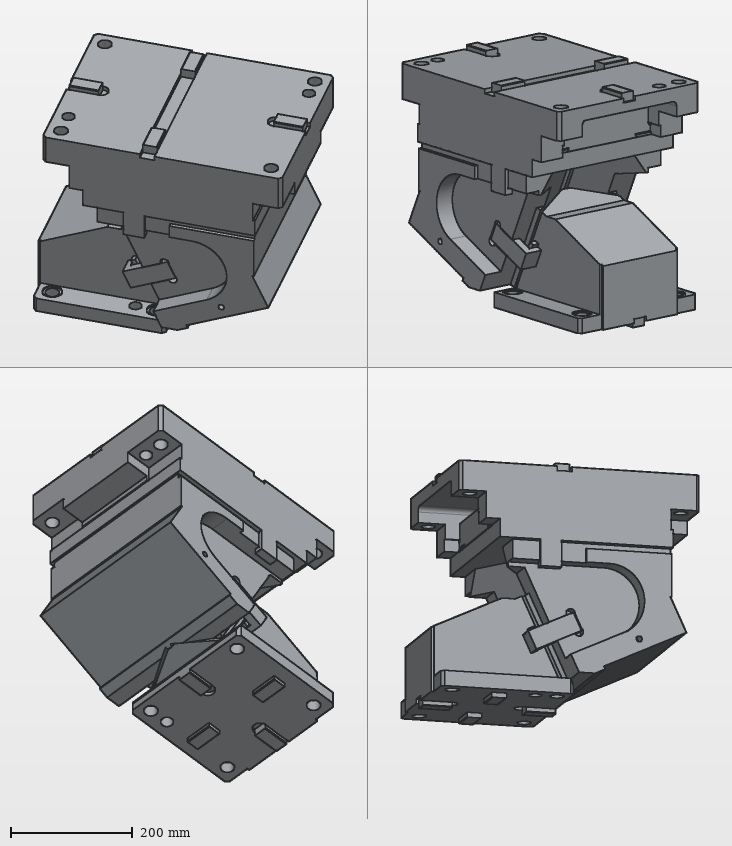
import cadquery as cq
import math


tilt = 25.0
tilt_cos = math.cos(math.radians(tilt))
tilt_sin = math.sin(math.radians(tilt))
vee_angle = 120.0
vee_slope = 1 / math.tan(math.radians(vee_angle / 2))
overall_width = 300.0
half_width = overall_width / 2
corner_chamfer = 5.5
key_width = 25.0
key_length = 50.0
key_rise = 8.5
key_sink = 7.5
key_chamfer = 1.5
drill_half_angle = 59.0
overlap = 4.5
bolt_diameter = 23.0
dowel_diameter = 21.0

driver_half_width = 82.5
driver_bottom = key_rise
driver_front_height = 117.0
driver_ledge_start = 119.0
driver_end = 231.0
front_panel_half_width = 79.0
driver_shoulder = 214.0
driver_back_plane = 219.0
nose_top = 96.5
nose_bottom = -63.5
nose_flat = 8.5
driver_body_start = 4.5
flange_half_width = 125.3
flange_top = 34.0
flange_bolt_y = 99.5
flange_bolt_x = (30.0, 208.5)
flange_dowel = (172.0, -98.0)
spot_diameter = 32.5
spot_depth = 2.0
driver_keys_x = 4.5
driver_cross_key_x = 110.0
driver_cross_key_y = 75.5
catch_half_width = 94.0
catch_start = 199.0
catch_end = 207.5
catch_bottom = 4.5
catch_top = 41.5

slide_front = 120.5
slide_back = 390.3
slide_top = 258.5
slide_nose_bottom = 218.5
slide_bottom = 39.5
slide_face = 227.0
slide_rear_face = 426.0
slide_rear_knee = 176.5
sole_front = -74.0
sole_rear = -68.8
sole_step = 271.0
vee_mouth = 68.0
vee_flat = 6.0
vee_reach = 438.0
vee_rib_half_width = 3.0
pad_outer = 85.0
pad_tip = (220.0, -81.0)
core_half_width = 116.5
rail_flange_half_width = 143.2
rail_flange_bottom = 226.0
cheek_start = 245.3
cheek_top = 249.0
pocket_radius = 60.0
pocket_center_x = 284.0
side_hole_at = (334.5, 102.0)
side_hole_diameter = 9.5
side_hole_depth = 22.0
bar_outer = 115.0
bar_inner = 100.5
hook_inner = 83.0
hook_start = 188.0
hook_end = 198.5
bar_end = 273.0
bar_pocket_end = 274.0
bar_bottom = 3.0
bar_top = 36.5
relief_radius = 7.5
relief_center = 267.5

holder_start = 28.0
holder_end = 438.0
plate_top = 384.5
plate_front_bottom = 334.5
plate_rear_bottom = 324.0
plate_rear_start = 389.0
first_step = 74.0
first_step_bottom = 290.0
second_step = 97.2
holder_back = 392.5
holder_bottom = 259.7
rib_half_width = 74.5
rib_bottom = 301.0
rib_foot_end = 394.0
hook_arm_start = 167.0
hook_arm_end = 202.5
hook_arm_bottom = 215.0
hook_arm_inner = 143.5
hook_lip_inner = 135.0
hook_lip_top = 224.5
rail_start = 98.5
rail_top = 337.0
rail_waist = 310.0
rail_head_bottom = 296.0
rail_half_width = 98.0
rail_foot_half_width = 102.0
rail_neck_half_width = 71.5
rail_neck_start = 175.0
rail_end = 348.0
rail_gap = 2.0
bay_end = 350.5
bay_top = 361.5
bay_corner_radius = 22.0
bay_roof_radius = 8.5
holder_cross_slot_x = 207.5
holder_cross_key_y = 109.5
holder_key_inset = 5.0
holder_slot_length = 68.5
holder_bolt_x = (52.5, 412.5)
holder_bolt_y = 125.3
holder_dowels = ((53.0, -84.0), (412.5, 91.0))


def tilted(distance, height):
    """X, Z of a point given along and across the tilted direction."""
    return (distance * tilt_cos - height * tilt_sin, distance * tilt_sin + height * tilt_cos)


def on_face(distance, z):
    """X, Z where the plane at a tilted distance reaches height z."""
    return ((distance - z * tilt_sin) / tilt_cos, z)


def on_slope(height, z):
    """X, Z where the plane at a tilted height reaches height z."""
    return tilted((z - height * tilt_cos) / tilt_sin, height)


def box(x0, x1, y0, y1, z0, z1):
    return cq.Workplane("XY").box(x1 - x0, y1 - y0, z1 - z0, centered=False).translate((x0, y0, z0))


def side_prism(points, half):
    """Outline in X, Z, extruded to both sides of Y = 0."""
    return cq.Workplane("XZ").polyline(points).close().extrude(half, both=True)


def tilted_plan(points, bottom, top):
    """Outline in tilted distance and Y, extruded from one tilted height to another."""
    x, z = tilted(0, bottom)
    plane = cq.Plane(origin=(x, 0, z), xDir=(tilt_cos, 0, tilt_sin), normal=(-tilt_sin, 0, tilt_cos))
    return cq.Workplane(plane).polyline(points).close().extrude(top - bottom)


def tilted_box(start, end, y0, y1, bottom, top):
    return tilted_plan([(start, y0), (end, y0), (end, y1), (start, y1)], bottom, top)


def both_sides(solid):
    return solid.union(solid.mirror("XZ"))


def vertical_holes(points, diameter, bottom, top):
    holes = cq.Workplane("XY").workplane(offset=bottom).pushPoints(points)
    return holes.circle(diameter / 2).extrude(top - bottom)


def key_along_x(start, center_y, bottom, top, outer_face):
    """Key with its long outer edges chamfered; outer_face selects the exposed face."""
    half = key_width / 2
    key = box(start, start + key_length, center_y - half, center_y + half, bottom, top)
    return key.faces(outer_face).edges("|X").chamfer(key_chamfer)


def key_along_y(center_x, center_y, bottom, top, outer_face):
    key = key_along_x(-key_length / 2, 0, bottom, top, outer_face)
    return key.rotate((0, 0, 0), (0, 0, 1), 90).translate((center_x, center_y, 0))


def key_seat(open_end, closed_end, bottom, top):
    """Seat along X, open at one end and round at the other."""
    half = key_width / 2
    inward = math.copysign(1, closed_end - open_end)
    arc_center = closed_end - inward * half
    straight = box(min(open_end, arc_center), max(open_end, arc_center), -half, half, bottom, top)
    return straight.union(vertical_holes([(arc_center, 0)], key_width, bottom, top))


def driver_end_corner():
    """X, Z where the tilted cut meets the vertical end of the base."""
    return (driver_end, (driver_back_plane - driver_end * tilt_cos) / tilt_sin)


def driver_block():
    ledge_z = driver_front_height + driver_ledge_start * math.tan(math.radians(tilt))
    outline = [
        (0, driver_bottom),
        (driver_end, driver_bottom),
        driver_end_corner(),
        on_face(driver_back_plane, flange_top),
        on_face(driver_shoulder, flange_top),
        tilted(driver_shoulder, nose_top),
        on_slope(nose_top, ledge_z),
        (driver_ledge_start, ledge_z),
        (0, driver_front_height),
    ]
    block = side_prism(outline, driver_half_width)
    beside_panel = box(0, driver_body_start, front_panel_half_width, driver_half_width,
                       driver_bottom, ledge_z)
    return block.cut(both_sides(beside_panel))


def driver_nose():
    ridge = driver_shoulder + (driver_half_width - nose_flat) * vee_slope
    plan = [
        (driver_shoulder - overlap, -driver_half_width),
        (driver_shoulder, -driver_half_width),
        (ridge, -nose_flat),
        (ridge, nose_flat),
        (driver_shoulder, driver_half_width),
        (driver_shoulder - overlap, driver_half_width),
    ]
    return tilted_plan(plan, nose_bottom, nose_top)


def driver_flange():
    half = flange_half_width
    flange = box(driver_body_start, driver_end, -half, half, driver_bottom, flange_top)
    flange = flange.edges("|Z").chamfer(corner_chamfer)
    sloping_end = [
        on_face(driver_back_plane, flange_top),
        (driver_end, flange_top),
        driver_end_corner(),
    ]
    return flange.cut(side_prism(sloping_end, half))


def build_driver():
    driver = driver_block().union(driver_nose()).union(driver_flange())
    catch = tilted_box(catch_start, catch_end, driver_half_width - overlap, catch_half_width,
                       catch_bottom, catch_top)
    driver = driver.union(both_sides(catch))

    bolts = [(x, y) for x in flange_bolt_x for y in (-flange_bolt_y, flange_bolt_y)]
    driver = driver.cut(vertical_holes(bolts, bolt_diameter, driver_bottom, flange_top))
    driver = driver.cut(vertical_holes(bolts, spot_diameter, flange_top - spot_depth, flange_top))
    driver = driver.cut(vertical_holes([flange_dowel], dowel_diameter, driver_bottom, flange_top))

    seat_roof = driver_bottom + key_sink
    seat_length = driver_keys_x + key_length + key_width / 2
    for open_end, closed_end in ((0, seat_length), (driver_end, driver_end - seat_length)):
        driver = driver.cut(key_seat(open_end, closed_end, driver_bottom, seat_roof))
    for start in (driver_keys_x, driver_end - key_length):
        driver = driver.union(key_along_x(start, 0, 0, seat_roof, "<Z"))
    for y in (-driver_cross_key_y, driver_cross_key_y):
        driver = driver.union(key_along_y(driver_cross_key_x, y, 0, seat_roof, "<Z"))
    return driver


def slide_blank():
    outline = [
        (slide_front, slide_top),
        (slide_front, slide_nose_bottom),
        on_face(slide_face, slide_nose_bottom),
        on_face(slide_face, slide_bottom),
        on_slope(sole_front, slide_bottom),
        tilted(sole_step, sole_front),
        tilted(sole_step, sole_rear),
        tilted(slide_rear_face, sole_rear),
        on_face(slide_rear_face, slide_rear_knee),
        (slide_back, slide_rear_knee),
        (slide_back, slide_top),
    ]
    return side_prism(outline, half_width)


def side_pocket():
    """Open recess in the -Y cheek: level roof, round end and tilted floor."""
    center_z = rail_flange_bottom - pocket_radius
    rad_mid = math.radians(tilt / 2)
    mid = (pocket_center_x + pocket_radius * math.cos(rad_mid),
           center_z + pocket_radius * math.sin(rad_mid))
    low = (pocket_center_x + pocket_radius * tilt_sin, center_z - pocket_radius * tilt_cos)
    floor_height = low[1] * tilt_cos - low[0] * tilt_sin
    floor_start = tilted(slide_face - overlap, floor_height)
    return (
        cq.Workplane("XZ", origin=(0, -core_half_width, 0))
        .moveTo(slide_front, rail_flange_bottom)
        .lineTo(pocket_center_x, rail_flange_bottom)
        .threePointArc(mid, low)
        .lineTo(*floor_start)
        .lineTo(slide_front, floor_start[1])
        .close()
        .extrude(half_width - core_half_width)
    )


def vee_groove():
    mouth_start = slide_front * tilt_cos
    ridge = slide_face + (vee_mouth - vee_flat) * vee_slope
    wide = vee_flat + (ridge - mouth_start) / vee_slope
    rib_face = ridge - (vee_flat - vee_rib_half_width) / vee_slope
    half_plan = [(mouth_start, wide), (ridge, vee_flat), (rib_face, vee_rib_half_width)]
    plan = half_plan + [(t, -y) for t, y in reversed(half_plan)]
    return tilted_plan(plan, -vee_reach, vee_reach)


def return_bar():
    """L-shaped bar on the -Y side, hooked inward at its front end."""
    plan = [
        (hook_start, -bar_outer),
        (bar_end, -bar_outer),
        (bar_end, -bar_inner),
        (hook_end, -bar_inner),
        (hook_end, -hook_inner),
        (hook_start, -hook_inner),
    ]
    return tilted_plan(plan, bar_bottom, bar_top)


def bar_pocket():
    """Seat of the return bar, relieved by round corners at its closed end."""
    centers = [tilted(relief_center, height) for height in (bar_bottom, bar_top)]
    face = cq.Workplane("XZ", origin=(0, -bar_inner, 0))
    reliefs = face.pushPoints(centers).circle(relief_radius).extrude(core_half_width - bar_inner)
    seat = tilted_box(slide_face, bar_pocket_end, -core_half_width, -bar_inner, bar_bottom, bar_top)
    return seat.union(reliefs)


def side_hole():
    """Blind drilled hole with a conical bottom in the -Y cheek."""
    radius = side_hole_diameter / 2
    point_depth = side_hole_depth + radius / math.tan(math.radians(drill_half_angle))
    hole_x, hole_z = side_hole_at
    half_section = [(0, 0), (radius, 0), (radius, side_hole_depth), (0, point_depth)]
    drill = cq.Workplane("XY").polyline(half_section).close()
    return drill.revolve(360, (0, 0, 0), (0, 1, 0)).translate((hole_x, -half_width, hole_z))


def rail(clearance, start, neck_start, end):
    """T-shaped guide rail; with a clearance it is the matching channel."""
    head = rail_half_width + clearance
    foot = rail_foot_half_width + clearance
    neck = rail_neck_half_width + clearance / 2
    shoulder = foot - head
    half_section = [
        (head, rail_top),
        (head, rail_waist),
        (foot, rail_waist - shoulder),
        (foot, rail_head_bottom - clearance),
        (neck, rail_head_bottom - clearance),
        (neck, first_step_bottom),
    ]
    section = half_section + [(-y, z) for y, z in reversed(half_section)]
    profile = cq.Workplane("YZ", origin=(start, 0, 0)).polyline(section).close()
    neck_box = box(neck_start, end, -neck, neck, slide_top, rail_head_bottom)
    return profile.extrude(end - start).union(neck_box)


def build_slide():
    slide = slide_blank()
    slide = slide.cut(both_sides(side_pocket()))
    front_trim = box(slide_front, cheek_start, -half_width, -rail_flange_half_width,
                     rail_flange_bottom, slide_top)
    top_trim = box(cheek_start, slide_back, -half_width, -rail_flange_half_width,
                   cheek_top, slide_top)
    slide = slide.cut(both_sides(front_trim)).cut(both_sides(top_trim))
    slide = slide.cut(vee_groove())

    pad_plan = [(slide_face, -vee_mouth), pad_tip, (slide_face, -pad_outer)]
    pad = tilted_plan(pad_plan, nose_bottom, nose_top)
    slide = slide.union(both_sides(pad))

    slide = slide.cut(both_sides(bar_pocket()))
    slide = slide.union(both_sides(return_bar()))

    slide = slide.cut(both_sides(side_hole()))
    return slide.union(rail(0, rail_start, rail_neck_start, rail_end))


def holder_blank():
    plate = box(holder_start, holder_end, -half_width, half_width, plate_rear_bottom, plate_top)
    plate = plate.edges("|Z").chamfer(corner_chamfer)
    plate = plate.cut(box(holder_start, first_step, -half_width, half_width,
                          plate_rear_bottom, plate_front_bottom))
    upper = box(first_step, plate_rear_start, -half_width, half_width,
                first_step_bottom, plate_front_bottom)
    lower = box(second_step, holder_back, -half_width, half_width, holder_bottom, first_step_bottom)
    rib = box(plate_rear_start, holder_end, -rib_half_width, rib_half_width,
              rib_bottom, plate_rear_bottom)
    rib_foot = box(plate_rear_start, rib_foot_end, -rib_half_width, rib_half_width,
                   first_step_bottom, rib_bottom)
    return plate.union(upper).union(lower).union(rib).union(rib_foot)


def hook_arm():
    arm = box(hook_arm_start, hook_arm_end, -half_width, -hook_arm_inner,
              hook_arm_bottom, holder_bottom)
    lip = box(hook_arm_start, hook_arm_end, -half_width, -hook_lip_inner,
              hook_arm_bottom, hook_lip_top)
    return arm.union(lip)


def rail_bay():
    """Clearance above the rail, open at the front and round at its rear corners."""
    half = rail_half_width + rail_gap
    bay = box(holder_start - bay_corner_radius, bay_end, -half, half, rail_waist, bay_top)
    bay = bay.faces(">X").edges("|Z").fillet(bay_corner_radius)
    return bay.faces(">Z").edges().fillet(bay_roof_radius)


def build_holder():
    holder = holder_blank().union(both_sides(hook_arm()))
    holder = holder.cut(rail_bay())
    holder = holder.cut(rail(rail_gap, first_step, rail_neck_start - rail_gap, bay_end))
    foot = rail_foot_half_width + rail_gap
    holder = holder.cut(box(first_step, rail_start, -foot, foot, first_step_bottom, rail_waist))

    bolts = [(x, y) for x in holder_bolt_x for y in (-holder_bolt_y, holder_bolt_y)]
    holder = holder.cut(vertical_holes(bolts, bolt_diameter, plate_rear_bottom, plate_top))
    holder = holder.cut(vertical_holes(holder_dowels, dowel_diameter, plate_rear_bottom, plate_top))

    seat_floor = plate_top - key_sink
    key_top = plate_top + key_rise
    cross_half = key_width / 2
    holder = holder.cut(box(holder_cross_slot_x - cross_half, holder_cross_slot_x + cross_half,
                            -half_width, half_width, seat_floor, plate_top))
    seats = ((holder_start, holder_start + holder_slot_length),
             (holder_end, holder_end - holder_slot_length))
    for open_end, closed_end in seats:
        holder = holder.cut(key_seat(open_end, closed_end, seat_floor, plate_top))
    key_starts = (holder_start + holder_key_inset, holder_end - holder_key_inset - key_length)
    for start in key_starts:
        holder = holder.union(key_along_x(start, 0, seat_floor, key_top, ">Z"))
    for y in (-holder_cross_key_y, holder_cross_key_y):
        holder = holder.union(key_along_y(holder_cross_slot_x, y, seat_floor, key_top, ">Z"))
    return holder


driver = build_driver()
slide = build_slide()
holder = build_holder()
result = cq.Compound.makeCompound([driver.val(), slide.val(), holder.val()])